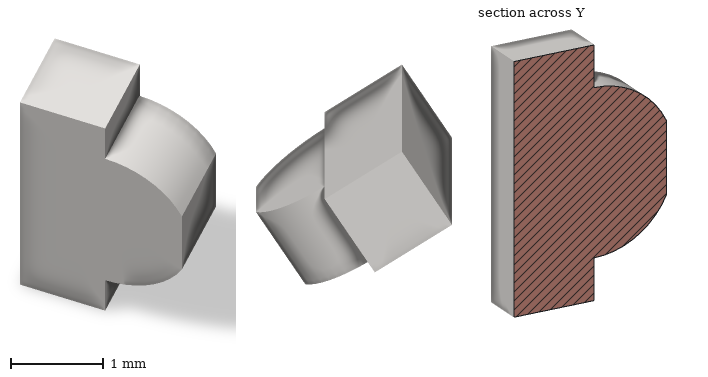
import cadquery as cq

height = 3.0
block_side = height / 3
nose_radius = height / 3
nose_reach = 0.9
back_step = 0.015

bar = cq.Workplane("XY").box(block_side, block_side, height, centered=(False, False, True))

nose_depth = block_side - back_step
disc = (
    cq.Workplane("XZ", origin=(block_side, 0, 0))
    .circle(nose_radius)
    .extrude(-nose_depth)
)

nose_limit = cq.Workplane("XY").box(
    block_side + nose_reach, block_side, height, centered=(False, False, True)
)
nose = disc.intersect(nose_limit)

result = bar.union(nose)